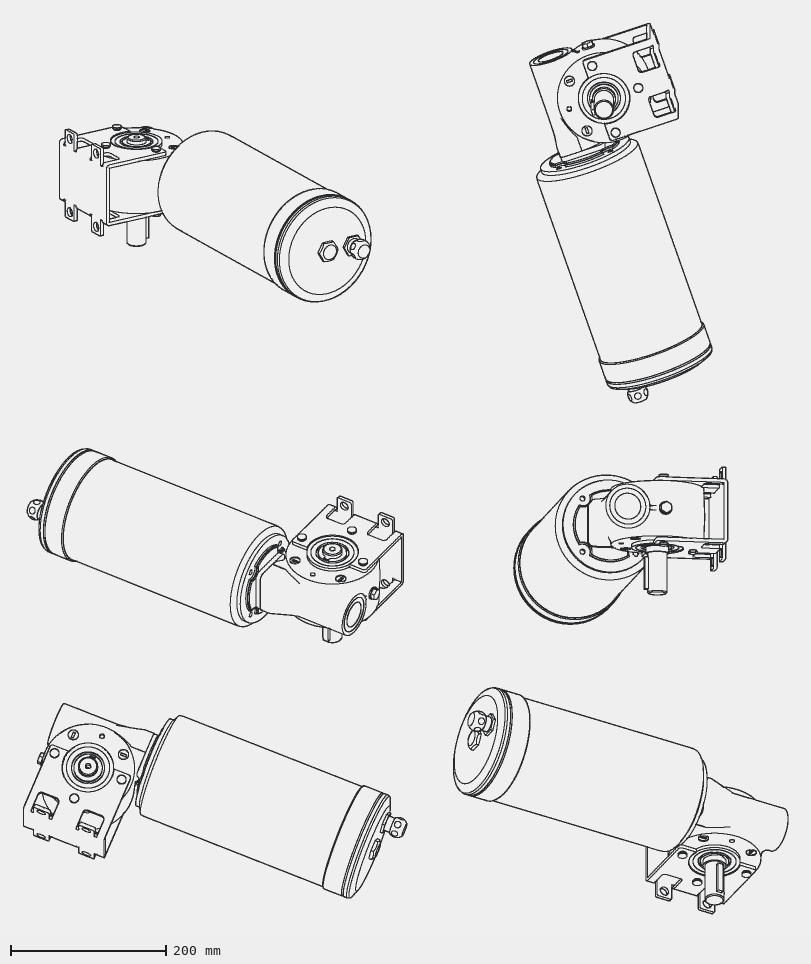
import cadquery as cq
import math


bracket_front_y = -82.0
overall_width = 203.5
overall_height = 171.5
cap_diameter = 143.0
cap_radius = cap_diameter / 2

motor_y = bracket_front_y + overall_width - cap_radius
flange_start_x = 70.3
flange_end_x = 75.5
flange_radius = 60.5
bell_edge_radius = 69.0
bell_edge_x = 80.0
tube_start_x = 84.5
tube_diameter = 138.5
tube_radius = tube_diameter / 2

cap_start_x = 334.5
cap_end_x = 376.0
cap_lip = 1.5
cap_groove_x = 361.0
cap_groove_width = 2.5
cap_groove_depth = 0.5
cap_rim_x = 368.2
cap_shoulder_x = 371.0
cap_shoulder_radius = 70.3
cap_face_radius = 59.0

pad_start_x = 66.0
pad_step_x = 68.0
pad_radius = 47.0
pad_step_radius = 45.3
bolt_offset = 35.0
scallop_radius = 10.0
scallop_step_radius = 12.0
flange_hole_diameter = 6.5
flange_hole_depth = 4.5

worm_start_x = -65.0
worm_round_end_x = 9.5
worm_radius = 28.8
worm_ring_outer_radius = 23.5
worm_ring_inner_radius = 17.0
worm_ring_depth = 0.5
neck_side = 59.5
neck_corner_radius = 7.0
neck_start_x = 46.0
neck_step_x = 59.5
neck_step = 1.0

drum_radius = 61.5
drum_edge_radius = 60.0
drum_half_height = 36.5
drum_blend_radius = 7.5
blend_gap = 5.5
hub_radius = 33.0
hub_ring_radius = 28.0
hub_ring_depth = 0.5
hub_top_z = 40.5
hub_recess_diameter = 42.5
hub_recess_inner_radius = 18.5
hub_recess_depth = 3.5
key_width = 7.0
keyway_face_y = 16.0

cover_screw_diameter = 13.0
cover_screw_recess = 1.5
cover_screw_slot = 3.0
cover_slot_length = 7.5
cover_hole_diameter = 6.0
cover_hole_depth = 4.5
cover_hole_y = 47.0

shaft_diameter = 25.0
shaft_radius = shaft_diameter / 2
shaft_top_z = 46.0
shaft_bottom_z = cap_radius - overall_height
shaft_chamfer = 1.5
shaft_center_hole_diameter = 7.0
shaft_center_hole_depth = 7.0
collar_diameter = 29.5
collar_bottom_z = -47.5
key_face_y = 16.5
key_top_z = -53.5
key_bottom_z = -95.0

bracket_half_width = 56.0
bracket_half_height = 42.0
bracket_thickness = 4.5
bracket_tab_y = 10.5
bracket_tab_radius = 4.0
bracket_bore_radius = 33.5
lug_spacing = 62.5
lug_width = 21.5
lug_top_z = 60.5
lug_corner_radius = 2.5
lug_hole_diameter = 12.0
lug_hole_z = 50.5
window_width = 28.8
window_top_y = -53.8
window_corner_radius = 4.5

bolt_circle_radius = 46.5
bolt_head_diameter = 12.0
bolt_neck_diameter = 9.0
bolt_neck_height = 2.0
bolt_top_z = 46.0

plug_flange_diameter = 16.5
plug_flange_x = -62.5
plug_hex_flats = 13.0
plug_end_x = -68.0

gland_y = 88.5
gland_base_end_x = 379.0
gland_neck_diameter = 20.0
gland_nut_start_x = 387.0
gland_end_x = 403.5
gland_nut_radius = 13.0
gland_nut_edge_radius = 11.0
gland_end_radius = 9.0
gland_flats = 25.0
end_nut_flats = 25.0
end_nut_end_x = 382.5
end_nut_face_radius = 10.0
end_nut_corner_radius = end_nut_flats / math.sqrt(3)


def x_disc(start_x, end_x, radius, y, z=0):
    """Cylinder along X between two X positions."""
    plane = cq.Workplane("YZ", origin=(start_x, y, z))
    return plane.circle(radius).extrude(end_x - start_x)


def z_disc(start_z, end_z, radius, x=0, y=0):
    """Cylinder along Z between two Z positions."""
    plane = cq.Workplane("XY", origin=(x, y, start_z))
    return plane.circle(radius).extrude(end_z - start_z)


def box(x_range, y_range, z_range):
    """Box given by its limits along X, Y and Z."""
    limits = (x_range, y_range, z_range)
    sizes = [high - low for low, high in limits]
    corner = tuple(low for low, high in limits)
    return cq.Workplane("XY").box(*sizes, centered=False).translate(corner)


def x_hexagon(start_x, end_x, flats, y, turn):
    """Hexagonal bar along X; at zero turn two corners point along Y."""
    plane = cq.Workplane("YZ", origin=(start_x, y, 0)).transformed(rotate=(0, 0, turn))
    return plane.polygon(6, flats / math.cos(math.pi / 6)).extrude(end_x - start_x)


def revolve_about_x(outline, y):
    """Turn an outline of X and radius about an axis along X."""
    return outline.close().revolve(360, (0, 0, 0), (1, 0, 0)).translate((0, y, 0))


def both_ends(top):
    """A feature on the +Z side together with its mirror image on the -Z side."""
    return top.union(top.mirror("XY"))


def make_motor():
    """Mounting flange, bell, tube and end cap as one turned body with four flange holes."""
    groove_end_x = cap_groove_x + cap_groove_width
    groove_radius = cap_radius - cap_groove_depth
    outline = (
        cq.Workplane("XY")
        .moveTo(flange_start_x, 0)
        .lineTo(flange_start_x, flange_radius)
        .lineTo(flange_end_x, flange_radius)
        .lineTo(bell_edge_x, bell_edge_radius)
        .lineTo(tube_start_x, tube_radius)
        .lineTo(cap_start_x, tube_radius)
        .lineTo(cap_start_x, cap_radius - cap_lip)
        .lineTo(cap_start_x + cap_lip, cap_radius)
        .lineTo(cap_groove_x, cap_radius)
        .lineTo(cap_groove_x, groove_radius)
        .lineTo(groove_end_x, groove_radius)
        .lineTo(groove_end_x, cap_radius)
        .lineTo(cap_rim_x, cap_radius)
        .lineTo(cap_shoulder_x, cap_shoulder_radius)
        .lineTo(cap_end_x, cap_face_radius)
        .lineTo(cap_end_x, 0)
    )
    motor = revolve_about_x(outline, motor_y)
    for y, z in bolt_positions():
        hole_end_x = flange_start_x + flange_hole_depth
        motor = motor.cut(x_disc(flange_start_x, hole_end_x, flange_hole_diameter / 2, y, z))
    return motor


def bolt_positions():
    """The four flange screw positions around the motor axis, as (Y, Z)."""
    offsets = (-bolt_offset, bolt_offset)
    return [(motor_y + dy, dz) for dy in offsets for dz in offsets]


def make_pad_step(start_x, end_x, radius, clearance):
    """Round pad with a hollow around each flange screw."""
    step = x_disc(start_x, end_x, radius, motor_y)
    for y, z in bolt_positions():
        step = step.cut(x_disc(start_x, end_x, clearance, y, z))
    return step


def make_pad():
    """Two-step pad on the motor flange."""
    base = make_pad_step(pad_step_x, flange_start_x, pad_radius, scallop_radius)
    return base.union(make_pad_step(pad_start_x, pad_step_x, pad_step_radius, scallop_step_radius))


def make_neck(start_x, end_x, side):
    """Rounded square block between the worm housing and the motor."""
    block = cq.Workplane("YZ", origin=(start_x, motor_y, 0)).rect(side, side).extrude(end_x - start_x)
    return block.edges("|X").fillet(neck_corner_radius)


def make_worm_transition():
    """Blend from the round worm housing to the rounded square neck."""
    square = cq.Sketch().rect(neck_side, neck_side).vertices().fillet(neck_corner_radius)
    circle = cq.Sketch().circle(worm_radius)
    square = square.moved(cq.Location(cq.Vector(0, 0, neck_start_x - worm_round_end_x)))
    return cq.Workplane("YZ", origin=(worm_round_end_x, motor_y, 0)).placeSketch(circle, square).loft()


def make_drum(half_height):
    """Gear drum, widest at its parting plane; its seam is on the bracket side."""
    slope = (drum_radius - drum_edge_radius) / drum_half_height
    edge_radius = drum_radius - slope * half_height
    outline = (
        cq.Workplane("YZ")
        .moveTo(0, -half_height)
        .lineTo(-edge_radius, -half_height)
        .lineTo(-drum_radius, 0)
        .lineTo(-edge_radius, half_height)
        .lineTo(0, half_height)
    )
    return outline.close().revolve(360, (0, 0, 0), (0, 1, 0))


def make_blended_drum(worm):
    """Drum with a rounded transition to the worm housing, interrupted at the parting plane."""
    reach = 2 * drum_radius
    everywhere = (-reach, reach)
    tall_half_height = drum_half_height + drum_blend_radius
    tall_half = make_drum(tall_half_height).union(worm).intersect(box(everywhere, everywhere, (0, reach)))
    seam = [edge for edge in tall_half.edges().vals() if edge.geomType() == "BSPLINE"]
    blended = tall_half.newObject(seam).fillet(drum_blend_radius)
    blend = blended.intersect(box(everywhere, everywhere, (blend_gap / 2, drum_half_height)))
    return make_drum(drum_half_height).union(worm).union(both_ends(blend))


def make_housing():
    """Gear drum and worm housing, squared off on its rear half towards the motor."""
    worm = x_disc(worm_start_x, pad_start_x, worm_radius, motor_y)
    housing = make_blended_drum(worm)
    square_part = make_worm_transition().union(make_neck(neck_start_x, neck_step_x, neck_side))
    rear_range = (motor_y, motor_y + neck_side)
    rear_half = box((worm_round_end_x, neck_step_x), rear_range, (-neck_side, neck_side))
    housing = housing.union(square_part.intersect(rear_half))
    housing = housing.union(make_neck(neck_step_x, pad_start_x, neck_side - neck_step))
    ring_end_x = worm_start_x + worm_ring_depth
    ring = x_disc(worm_start_x, ring_end_x, worm_ring_outer_radius, motor_y)
    return housing.cut(ring.cut(x_disc(worm_start_x, ring_end_x, worm_ring_inner_radius, motor_y)))


def make_hub():
    """Raised hub around the shaft on both faces of the drum."""
    recess_floor_z = hub_top_z - hub_recess_depth
    top = z_disc(0, hub_top_z, hub_radius)
    top = top.cut(z_disc(hub_top_z - hub_ring_depth, hub_top_z, hub_ring_radius))
    recess = z_disc(recess_floor_z, hub_top_z, hub_recess_diameter / 2)
    recess = recess.cut(z_disc(recess_floor_z, hub_top_z, hub_recess_inner_radius))
    keyway = box((-key_width / 2, key_width / 2), (0, keyway_face_y), (recess_floor_z, hub_top_z))
    return both_ends(top.cut(recess).cut(keyway))


def make_cover_details():
    """Cuts in the drum faces: round recesses around the screws, and a vent hole."""
    hole_floor_z = drum_half_height - cover_hole_depth
    cuts = z_disc(hole_floor_z, drum_half_height, cover_hole_diameter / 2, 0, cover_hole_y)
    screw_radius = cover_screw_diameter / 2
    screw_floor_z = drum_half_height - cover_screw_recess
    slot_floor_z = screw_floor_z - cover_screw_recess
    half_width = cover_screw_slot / 2
    half_length = cover_slot_length / 2
    left_screw = (-bolt_offset, half_width, half_length)
    right_screw = (bolt_offset, half_length, half_width)
    for x, half_x, half_y in (left_screw, right_screw):
        cuts = cuts.union(z_disc(screw_floor_z, drum_half_height, screw_radius, x, bolt_offset))
        y_range = (bolt_offset - half_y, bolt_offset + half_y)
        cuts = cuts.union(box((x - half_x, x + half_x), y_range, (slot_floor_z, screw_floor_z)))
    return both_ends(cuts)


def make_shaft():
    """Output shaft with a collar, a centre hole at the top and a key on the lower end."""
    shaft = z_disc(shaft_bottom_z, shaft_top_z, shaft_radius).faces("<Z or >Z").chamfer(shaft_chamfer)
    shaft = shaft.union(z_disc(collar_bottom_z, 0, collar_diameter / 2))
    hole_floor_z = shaft_top_z - shaft_center_hole_depth
    shaft = shaft.cut(z_disc(hole_floor_z, shaft_top_z, shaft_center_hole_diameter / 2))
    key = box((-key_width / 2, key_width / 2), (0, key_face_y), (key_bottom_z, key_top_z))
    return shaft.union(key)


def make_bracket():
    """U-shaped sheet bracket around the drum, with lugs on its front plate."""
    width = (-bracket_half_width, bracket_half_width)
    inner_height = bracket_half_height - bracket_thickness
    plate_back_y = bracket_front_y + bracket_thickness
    bracket = box(width, (bracket_front_y, bracket_tab_y), (-bracket_half_height, bracket_half_height))
    bracket = bracket.edges("|X and <Y").fillet(bracket_thickness)
    bracket = bracket.edges("|Z and >Y").fillet(bracket_tab_radius)
    bracket = bracket.cut(box(width, (plate_back_y, bracket_tab_y), (-inner_height, inner_height)))
    bracket = bracket.cut(z_disc(-bracket_half_height, bracket_half_height, bracket_bore_radius))
    for x in (-lug_spacing / 2, lug_spacing / 2):
        bracket = bracket.cut(both_ends(make_window(x, inner_height)))
        bracket = bracket.union(make_lug_bar(x))
    return bracket


def make_window(x, floor_z):
    """Opening through a bracket side and its bend, behind a lug."""
    half_width = window_width / 2
    window = box(
        (x - half_width, x + half_width), (bracket_front_y, window_top_y), (floor_z, bracket_half_height)
    )
    return window.edges("|Z and >Y").fillet(window_corner_radius)


def make_lug_bar(x):
    """Upright strip of the front plate, ending in a drilled lug above and below."""
    bar = (
        cq.Workplane("XZ", origin=(x, bracket_front_y, 0))
        .rect(lug_width, 2 * lug_top_z)
        .extrude(-bracket_thickness)
        .edges("|Y")
        .fillet(lug_corner_radius)
    )
    holes = (
        cq.Workplane("XZ", origin=(x, bracket_front_y, 0))
        .pushPoints([(0, -lug_hole_z), (0, lug_hole_z)])
        .circle(lug_hole_diameter / 2)
        .extrude(-bracket_thickness)
    )
    return bar.cut(holes)


def make_bracket_bolt(x, y):
    """Bolt head standing on a narrower neck, on both bracket sides."""
    neck_top_z = bracket_half_height + bolt_neck_height
    neck = z_disc(drum_half_height, neck_top_z, bolt_neck_diameter / 2, x, y)
    return both_ends(neck.union(z_disc(neck_top_z, bolt_top_z, bolt_head_diameter / 2, x, y)))


def make_plug():
    """Hexagonal plug with a round flange."""
    flange = x_disc(plug_flange_x, 0, plug_flange_diameter / 2, 0).rotate((0, 0, 0), (1, 0, 0), 90)
    return flange.union(x_hexagon(plug_end_x, plug_flange_x, plug_hex_flats, 0, 90))


def make_gland():
    """Hexagonal base, round neck and barrel-shaped nut with six flats."""
    gland = x_hexagon(cap_end_x, gland_base_end_x, gland_flats, gland_y, 0)
    gland = gland.union(x_disc(gland_base_end_x, gland_nut_start_x, gland_neck_diameter / 2, gland_y))
    nut_middle_x = (gland_nut_start_x + gland_end_x) / 2
    outline = (
        cq.Workplane("XY")
        .moveTo(gland_nut_start_x, 0)
        .lineTo(gland_nut_start_x, gland_nut_edge_radius)
        .threePointArc((nut_middle_x, gland_nut_radius), (gland_end_x, gland_end_radius))
        .lineTo(gland_end_x, 0)
    )
    flats = x_hexagon(gland_nut_start_x, gland_end_x, gland_flats, gland_y, 0)
    nut = revolve_about_x(outline, gland_y).intersect(flats)
    return gland.union(nut)


def make_end_nut():
    """Hexagonal cap on the motor axis, tapered towards its end face."""
    outline = (
        cq.Workplane("XY")
        .moveTo(cap_end_x, 0)
        .lineTo(cap_end_x, end_nut_corner_radius)
        .lineTo((cap_end_x + end_nut_end_x) / 2, end_nut_corner_radius)
        .lineTo(end_nut_end_x, end_nut_face_radius)
        .lineTo(end_nut_end_x, 0)
    )
    cone = revolve_about_x(outline, motor_y)
    return cone.intersect(x_hexagon(cap_end_x, end_nut_end_x, end_nut_flats, motor_y, 0))


result = make_housing().union(make_plug()).cut(make_cover_details())
result = result.union(make_hub()).union(make_shaft()).union(make_bracket())
for bolt_x, bolt_y in ((-bolt_circle_radius, 0), (bolt_circle_radius, 0), (0, -bolt_circle_radius)):
    result = result.union(make_bracket_bolt(bolt_x, bolt_y))
result = result.union(make_pad()).union(make_motor())
result = result.union(make_gland()).union(make_end_nut())